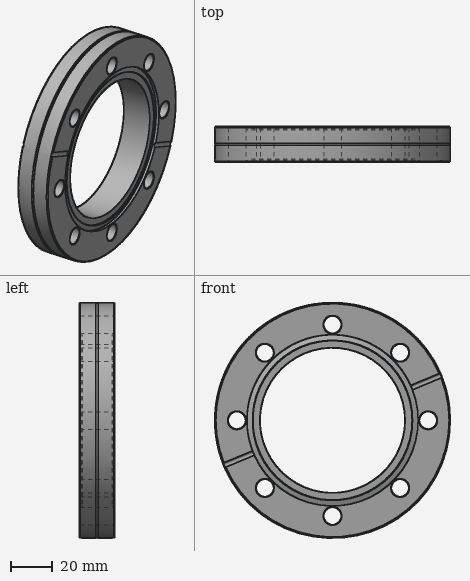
import cadquery as cq

outer_diameter = 113.5
thickness = 17.3
bore_diameter = 69.8
rim_chamfer = 0.6

recess_diameter = 82.5
recess_depth = 1.6
knife_diameter = 77.2
knife_depth = 0.7
knife_wall_run = 0.2
seat_depth = 1.1

bolt_count = 8
bolt_hole_diameter = 8.4
bolt_hole_chamfer = 0.2
bolt_circle_diameter = 92.2

leak_groove_width = 2.3
leak_groove_depth = 0.7
leak_groove_angle = 180.0 / bolt_count

rim_groove_width = 1.0
rim_groove_depth = 0.1

outer_radius = outer_diameter / 2
bore_radius = bore_diameter / 2
recess_radius = recess_diameter / 2
knife_radius = knife_diameter / 2
half_thickness = thickness / 2


def revolved(half_profile):
    """Solid of revolution about the Y axis.

    The given profile covers the front half only; it is completed by its mirror image across the mid plane.
    """
    mirrored = [(radius, -y) for radius, y in reversed(half_profile)]
    profile = cq.Workplane("XY").polyline(half_profile + mirrored).close()
    return profile.revolve(360, (0, 0, 0), (0, 1, 0))


def ring_body():
    """Ring with a grooved rim and a knife-edge recess in both faces."""
    front_y = -half_thickness
    groove_floor_radius = outer_radius - rim_groove_depth
    return revolved([
        (groove_floor_radius, -rim_groove_width / 2),
        (outer_radius, -rim_groove_width / 2),
        (outer_radius, front_y + rim_chamfer),
        (outer_radius - rim_chamfer, front_y),
        (recess_radius, front_y),
        (recess_radius, front_y + recess_depth),
        (knife_radius, front_y + knife_depth),
        (knife_radius - knife_wall_run, front_y + seat_depth),
        (bore_radius, front_y + seat_depth),
    ])


def bolt_hole(angle):
    """Through hole with a chamfered mouth at both faces."""
    hole_radius = bolt_hole_diameter / 2
    hole = revolved([
        (hole_radius, bolt_hole_chamfer - half_thickness),
        (hole_radius + bolt_hole_chamfer, -half_thickness),
        (0, -half_thickness),
    ])
    return hole.translate((bolt_circle_diameter / 2, 0, 0)).rotate((0, 0, 0), (0, 1, 0), -angle)


def leak_groove(angle):
    """Round-bottomed radial groove in the front face, from the recess out through the rim."""
    half_width = leak_groove_width / 2
    groove_radius = (half_width**2 + leak_groove_depth**2) / (2 * leak_groove_depth)
    axis_y = leak_groove_depth - groove_radius - half_thickness
    start_radius = (knife_radius + recess_radius) / 2
    groove = (
        cq.Workplane("YZ", origin=(start_radius, axis_y, 0))
        .circle(groove_radius)
        .extrude(outer_radius - start_radius + leak_groove_width)
    )
    return groove.rotate((0, 0, 0), (0, 1, 0), -angle)


result = ring_body()
for index in range(bolt_count):
    result = result.cut(bolt_hole(index * 360.0 / bolt_count))
for half_turn in (0, 180):
    groove = leak_groove(leak_groove_angle + half_turn)
    result = result.cut(groove).cut(groove.mirror("XZ"))